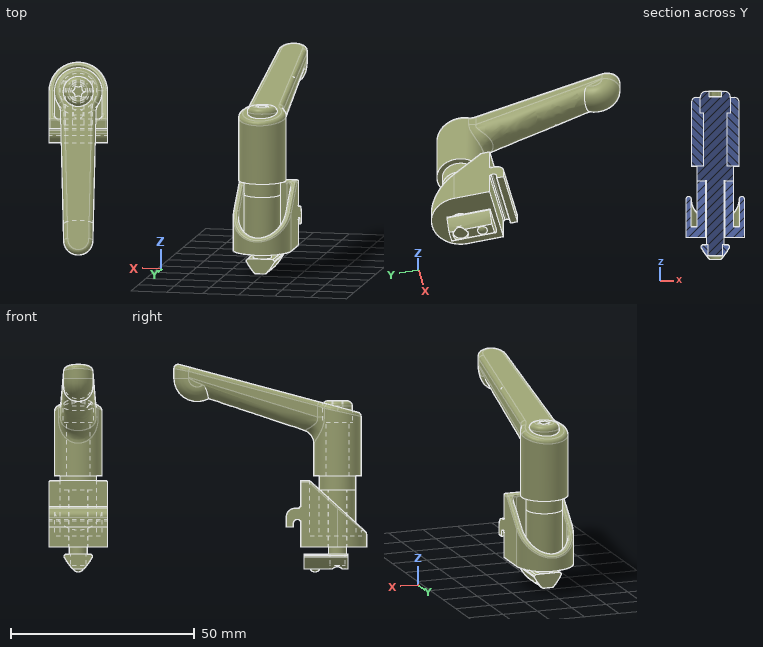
import cadquery as cq
import math


bracket_width = 16.0
back_radius = bracket_width / 2
front_y = -10.05
bracket_height = 18.1
crest_depth = 2.5
slope_angle = 42.4
rim_radius = 0.5
wall = 1.5
margin = 0.1
pocket_front_y = front_y + crest_depth
pocket_corner_radius = 1.2
pocket_floor_z = 3.0
boss_diameter = 10.0
boss_top_z = 15.5
clearance_diameter = 5.2

hook_reach = 3.95
hook_top_z = 10.6
hook_bottom_z = 5.45
hook_outer_radius = 2.5
hook_lip = 2.0
hook_slot_top_z = 7.5
hook_inner_radius = 1.1
hook_root_radius = 0.4

hub_diameter = 13.0
hub_bottom_z = 19.4
top_angle = 15.0
top_z_on_axis = 38.26
top_edge_radius = 1.2
neck_y = -5.5
neck_width = 9.7
tip_y = -44.62
tip_radius = 4.03
side_depth_root = 4.3
side_depth_tip = 2.9
root_blend_radius = 3.6
knob_radius = 6.4
knob_center_z = 46.0
spare_height = 3.0
lever_bore_diameter = 6.3
counterbore_z = 34.0

head_diameter = 8.2
head_top_z = 39.9
head_edge_radius = 1.5
torx_outer_diameter = 3.35
torx_inner_diameter = 2.4
torx_depth = 1.5
torx_lobes = 6
collar_diameter = 10.0
stud_diameter = 5.0
thread_core_diameter = 4.13
stud_end_z = -5.0

nut_back_y = 2.9
nut_front_y = -9.13
nut_top_z = -1.95
nut_bottom_z = -6.05
nut_half_width = 3.92
nut_bottom_half_width = 1.5
nut_top_chamfer = 0.4
nut_side_bottom_z = -2.7
nut_bulge = (3.2, -3.9)
ball_radius = 1.5
ball_y = -6.1
ball_bottom_z = -6.85


def cylinder(diameter, z_low, z_high):
    return cq.Workplane("XY").workplane(offset=z_low).circle(diameter / 2).extrude(z_high - z_low)


def u_block(half_width, front, height):
    """Block with a round back about the Z axis and straight sides down to the front face."""
    return (
        cq.Workplane("XY")
        .moveTo(half_width, front)
        .lineTo(half_width, 0)
        .threePointArc((0, half_width), (-half_width, 0))
        .lineTo(-half_width, front)
        .close()
        .extrude(height)
    )


def make_bracket():
    slope_start_y = front_y + crest_depth
    slope_end_y = back_radius + 1
    slope_drop = (slope_end_y - slope_start_y) * math.tan(math.radians(slope_angle))
    above_slope = (
        cq.Workplane("YZ")
        .moveTo(slope_start_y, bracket_height)
        .lineTo(slope_end_y, bracket_height - slope_drop)
        .lineTo(slope_end_y, bracket_height)
        .close()
        .extrude(back_radius, both=True)
    )
    body = u_block(back_radius, front_y, bracket_height).cut(above_slope)
    body = body.edges("not (|X or |Z or <Z)").fillet(rim_radius)

    pocket = u_block(back_radius - wall, pocket_front_y, bracket_height)
    pocket = pocket.edges("|Z and <Y").fillet(pocket_corner_radius)
    body = body.cut(pocket.translate((0, 0, pocket_floor_z)))
    pocket_low = (wall - back_radius - margin, pocket_front_y - margin, pocket_floor_z + margin)
    pocket_high = (back_radius - wall + margin, back_radius - wall + margin, bracket_height + margin)
    rim_edges = body.edges(cq.selectors.BoxSelector(pocket_low, pocket_high)).edges("not |Z")
    body = rim_edges.fillet(rim_radius)

    body = body.union(cylinder(boss_diameter, 0, boss_top_z))
    body = body.union(make_hook())
    return body.cut(cylinder(clearance_diameter, 0, boss_top_z))


def make_hook():
    hook_y = front_y - hook_reach
    slot_y = hook_y + hook_lip
    embed_y = front_y + wall
    return (
        cq.Workplane("YZ")
        .moveTo(embed_y, hook_top_z + hook_root_radius)
        .lineTo(front_y, hook_top_z + hook_root_radius)
        .radiusArc((front_y - hook_root_radius, hook_top_z), -hook_root_radius)
        .lineTo(hook_y + hook_outer_radius, hook_top_z)
        .radiusArc((hook_y, hook_top_z - hook_outer_radius), -hook_outer_radius)
        .lineTo(hook_y, hook_bottom_z)
        .lineTo(slot_y, hook_bottom_z)
        .lineTo(slot_y, hook_slot_top_z - hook_inner_radius)
        .radiusArc((slot_y + hook_inner_radius, hook_slot_top_z), hook_inner_radius)
        .lineTo(front_y - hook_root_radius, hook_slot_top_z)
        .radiusArc((front_y, hook_slot_top_z - hook_root_radius), -hook_root_radius)
        .lineTo(embed_y, hook_slot_top_z - hook_root_radius)
        .close()
        .extrude(back_radius, both=True)
    )


def top_z(y):
    """Height of the sloped lever top at the given y."""
    return top_z_on_axis - y * math.tan(math.radians(top_angle))


tip_center_y = tip_y + tip_radius
knob_center_y = tip_y + knob_radius
arm_taper = (neck_width / 2 - tip_radius) / (neck_y - tip_center_y)


def arm_half_width(y):
    return tip_radius + arm_taper * (y - tip_center_y)


def arm_side_bottom(y):
    """Height at which the flat arm side runs into the half-round underside."""
    fraction = (neck_y - y) / (neck_y - tip_center_y)
    return top_z(y) - side_depth_root - (side_depth_tip - side_depth_root) * fraction


def arm_section(y, raise_top):
    """Upright U-shaped section of the arm, flat sided with a half-round underside."""
    half = arm_half_width(y)
    low = arm_side_bottom(y)
    high = top_z(y) + raise_top
    plane = cq.Plane(origin=(0, y, 0), xDir=(1, 0, 0), normal=(0, -1, 0))
    return (
        cq.Workplane(plane)
        .moveTo(-half, high)
        .lineTo(-half, low)
        .threePointArc((0, low - half), (half, low))
        .lineTo(half, high)
        .close()
        .val()
    )


def make_knob():
    """Disc with a fully rounded rim, continued upwards as a round-ended block."""
    core_radius = knob_radius - tip_radius
    disc = (
        cq.Workplane("XY", origin=(0, knob_center_y, knob_center_z))
        .moveTo(-tip_radius, 0)
        .lineTo(-tip_radius, core_radius)
        .threePointArc((0, knob_radius), (tip_radius, core_radius))
        .lineTo(tip_radius, 0)
        .close()
        .revolve(360, (0, 0), (1, 0))
    )
    block_height = top_z(tip_y) + spare_height - knob_center_z
    block = (
        cq.Workplane("XY", origin=(0, 0, knob_center_z))
        .moveTo(-tip_radius, knob_center_y)
        .lineTo(-tip_radius, tip_center_y)
        .threePointArc((0, tip_y), (tip_radius, tip_center_y))
        .lineTo(tip_radius, knob_center_y)
        .close()
        .extrude(block_height)
    )
    return disc.union(block)


def above_top_plane():
    """Everything over the sloped lever top."""
    back_y = hub_diameter
    front = tip_y - hub_diameter
    return (
        cq.Workplane("YZ")
        .moveTo(back_y, top_z(back_y))
        .lineTo(front, top_z(front))
        .lineTo(front, 2 * top_z(front))
        .lineTo(back_y, 2 * top_z(front))
        .close()
        .extrude(hub_diameter, both=True)
    )


def make_lever():
    hub_radius = hub_diameter / 2
    hub = cylinder(hub_diameter, hub_bottom_z, top_z(-hub_diameter) + spare_height)
    sections = [arm_section(y, spare_height) for y in (0, tip_center_y)]
    arm = cq.Workplane(cq.Solid.makeLoft(sections, True))
    body = hub.union(arm).cut(above_top_plane())

    root_low = (-hub_radius, -hub_radius, hub_bottom_z + 1)
    root_high = (hub_radius, -hub_radius / 2, top_z(0))
    root_edges = body.edges(cq.selectors.BoxSelector(root_low, root_high))
    body = root_edges.fillet(root_blend_radius)

    body = body.union(make_knob().cut(above_top_plane()))
    slope = math.radians(top_angle)
    top_normal = cq.Vector(0, math.sin(slope), math.cos(slope))
    top_face = body.faces(cq.selectors.DirectionMinMaxSelector(top_normal))
    body = top_face.edges().fillet(top_edge_radius)

    body = body.cut(cylinder(lever_bore_diameter, hub_bottom_z, head_top_z))
    return body.cut(cylinder(head_diameter, counterbore_z, head_top_z))


def make_torx():
    """Six-lobed drive recess in the stud head."""
    mean = (torx_outer_diameter + torx_inner_diameter) / 4
    swing = (torx_outer_diameter - torx_inner_diameter) / 4
    points = []
    step = math.pi / torx_lobes
    for i in range(2 * torx_lobes):
        r = mean + swing * (-1) ** i
        points.append((r * math.cos(i * step), r * math.sin(i * step)))
    return (
        cq.Workplane("XY", origin=(0, 0, head_top_z))
        .spline(points, periodic=True)
        .close()
        .extrude(-torx_depth)
    )


def make_stud():
    head = cylinder(head_diameter, counterbore_z, head_top_z).faces(">Z").edges().fillet(head_edge_radius)
    return (
        head.cut(make_torx())
        .union(cylinder(lever_bore_diameter, hub_bottom_z, counterbore_z))
        .union(cylinder(collar_diameter, boss_top_z, hub_bottom_z))
        .union(cylinder(stud_diameter, nut_top_z, boss_top_z))
        .union(cylinder(thread_core_diameter, stud_end_z, nut_top_z))
    )


def make_nut():
    half = nut_half_width
    low_half = nut_bottom_half_width
    bulge_x, bulge_z = nut_bulge
    shoulder_z = nut_top_z - nut_top_chamfer
    body = (
        cq.Workplane("XZ", origin=(0, nut_back_y, 0))
        .moveTo(-half + nut_top_chamfer, nut_top_z)
        .lineTo(half - nut_top_chamfer, nut_top_z)
        .lineTo(half, shoulder_z)
        .lineTo(half, nut_side_bottom_z)
        .threePointArc((bulge_x, bulge_z), (low_half, nut_bottom_z))
        .lineTo(-low_half, nut_bottom_z)
        .threePointArc((-bulge_x, bulge_z), (-half, nut_side_bottom_z))
        .lineTo(-half, shoulder_z)
        .close()
        .extrude(nut_back_y - nut_front_y)
    )
    ball = cq.Workplane("XY").sphere(ball_radius).translate((0, ball_y, ball_bottom_z + ball_radius))
    return body.union(ball).cut(cylinder(thread_core_diameter, ball_bottom_z, nut_top_z))


bracket = make_bracket()
lever = make_lever()
stud = make_stud()
nut = make_nut()

result = cq.Compound.makeCompound([bracket.val(), lever.val(), stud.val(), nut.val()])